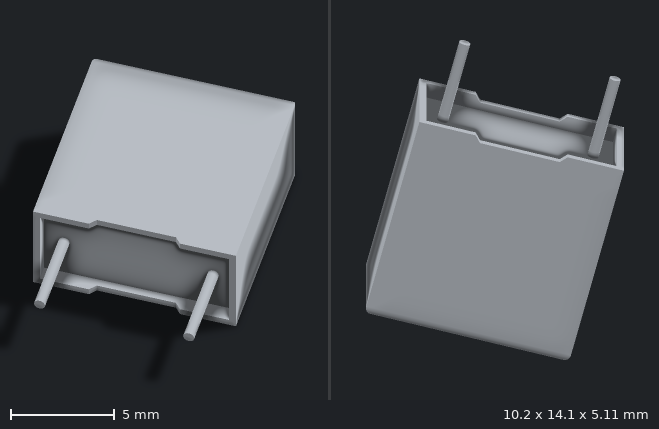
import cadquery as cq


CASE_WIDTH = 10.2
CASE_LENGTH = 10.6
CASE_THICKNESS = 5.11
WALL = 0.35
END_RADIUS = 0.5

NOTCH_DEPTH = 0.34
NOTCH_FLOOR_WIDTH = 3.98
NOTCH_RIM_WIDTH = 4.58

FILL_RECESS = 0.74
FILL_LENGTH = CASE_LENGTH - WALL - FILL_RECESS

LEAD_DIAMETER = 0.55
LEAD_PITCH = 7.5
LEAD_REACH = 3.5
LEAD_LENGTH = LEAD_REACH + FILL_RECESS


def block_from(y_start, length, width, thickness):
    """Box centred in X and Z that extends from y_start towards +Y."""
    return cq.Workplane("XY", origin=(0, y_start, 0)).box(
        width, length, thickness, centered=(True, False, True)
    )


def make_notch():
    """Trapezoidal cutter through the full thickness of the case."""
    return (
        cq.Workplane("XY")
        .moveTo(-NOTCH_RIM_WIDTH / 2, 0)
        .lineTo(-NOTCH_FLOOR_WIDTH / 2, NOTCH_DEPTH)
        .lineTo(NOTCH_FLOOR_WIDTH / 2, NOTCH_DEPTH)
        .lineTo(NOTCH_RIM_WIDTH / 2, 0)
        .close()
        .extrude(CASE_THICKNESS / 2, both=True)
    )


def make_cavity_block(y_start, length):
    """Block that fits between the side walls of the case."""
    return block_from(y_start, length, CASE_WIDTH - 2 * WALL, CASE_THICKNESS - 2 * WALL)


def make_case():
    """Cup with a rounded closed end, open at Y = 0."""
    shell = block_from(0, CASE_LENGTH, CASE_WIDTH, CASE_THICKNESS).faces(">Y").edges().fillet(END_RADIUS)
    cavity = make_cavity_block(0, CASE_LENGTH - WALL)
    return shell.cut(cavity).cut(make_notch())


def make_fill():
    """Potting that fills the case cavity behind the recess."""
    return make_cavity_block(FILL_RECESS, FILL_LENGTH)


def make_lead(x):
    """Round wire running from the fill face towards -Y."""
    return (
        cq.Workplane("XZ", origin=(x, FILL_RECESS, 0))
        .circle(LEAD_DIAMETER / 2)
        .extrude(LEAD_LENGTH)
    )


case = make_case()
fill = make_fill()
leads = [make_lead(side * LEAD_PITCH / 2) for side in (-1, 1)]

result = cq.Compound.makeCompound([case.val(), fill.val(), *[lead.val() for lead in leads]])